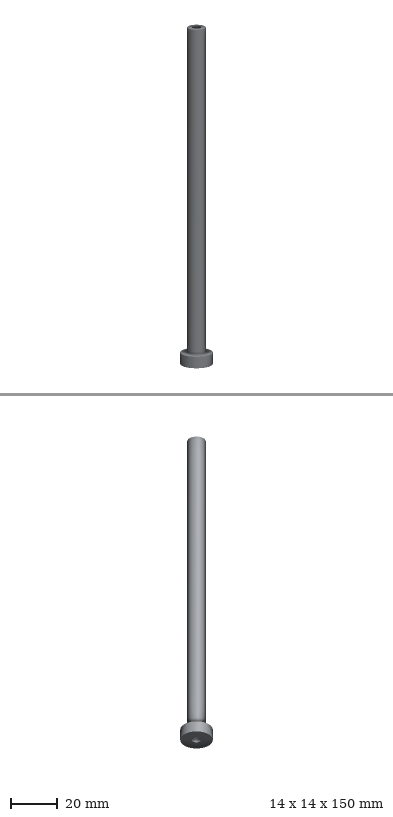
import cadquery as cq

total_length = 150.0
head_diameter = 14.0
head_height = 5.1
shaft_diameter = 8.0
bore_diameter = 4.0
neck_fillet = 0.5

head = cq.Workplane("XY").circle(head_diameter / 2).extrude(head_height)
shaft = cq.Workplane("XY").circle(shaft_diameter / 2).extrude(total_length)
body = head.union(shaft)

head_top = body.faces(cq.selectors.NearestToPointSelector((0, 0, head_height)))
body = head_top.edges(cq.selectors.RadiusNthSelector(0)).fillet(neck_fillet)

result = body.faces(">Z").workplane().hole(bore_diameter)